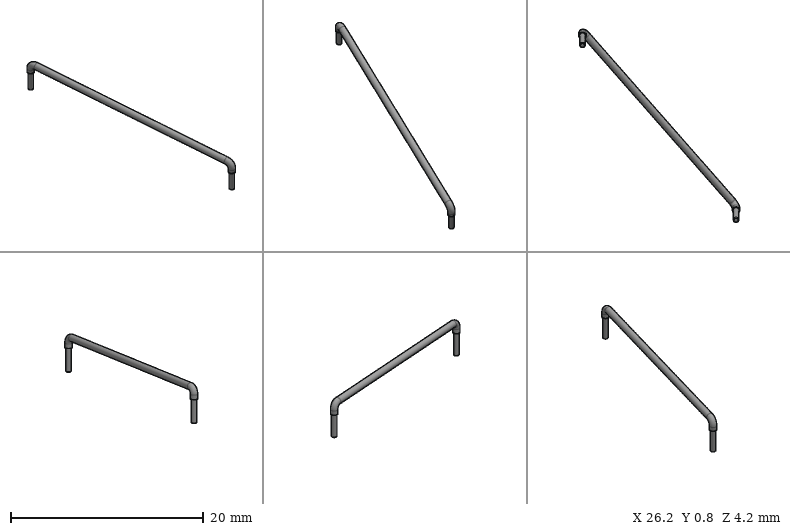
import cadquery as cq

lead_pitch = 25.4
body_diameter = 0.8
pin_diameter = 0.6
bend_radius = 0.7
collar_length = 0.5
pin_length = 2.6
tip_chamfer = 0.1

pin_x = lead_pitch / 2
body_end_z = -collar_length - bend_radius
bend_middle_offset = bend_radius * (1 - 0.5 ** 0.5)


def make_link_body():
    """Round bar along X, bent down at both ends; its straight run lies on the X axis."""
    centreline = (
        cq.Workplane("XZ")
        .moveTo(-pin_x, body_end_z)
        .lineTo(-pin_x, -bend_radius)
        .threePointArc(
            (-pin_x + bend_middle_offset, -bend_middle_offset),
            (-pin_x + bend_radius, 0),
        )
        .lineTo(pin_x - bend_radius, 0)
        .threePointArc(
            (pin_x - bend_middle_offset, -bend_middle_offset),
            (pin_x, -bend_radius),
        )
        .lineTo(pin_x, body_end_z)
    )
    return (
        cq.Workplane("XY", origin=(-pin_x, 0, body_end_z))
        .circle(body_diameter / 2)
        .sweep(centreline)
    )


def make_pin(x):
    """Straight pin standing against a body end face, chamfered at its lower tip."""
    return (
        cq.Workplane("XY", origin=(x, 0, body_end_z))
        .circle(pin_diameter / 2)
        .extrude(-pin_length)
        .faces("<Z")
        .chamfer(tip_chamfer)
    )


link_body = make_link_body()
pins = [make_pin(x) for x in (-pin_x, pin_x)]

result = cq.Compound.makeCompound([link_body.val(), *[pin.val() for pin in pins]])